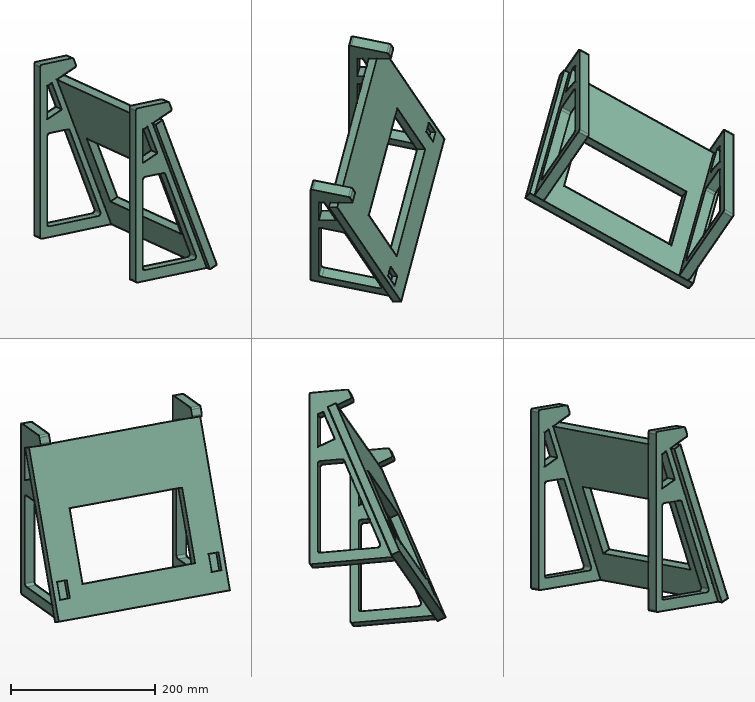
import cadquery as cq
import math

TOTAL_WIDTH = 266.62
TOTAL_DEPTH = 131.03
TOTAL_HEIGHT = 254.57

LEAN = math.radians(21.8)
PANEL_THICKNESS = 12.7
PANEL_LENGTH = 245.6
WINDOW_MARGIN = 45.72
WINDOW_TOP = 152.4
WINDOW_WIDTH = TOTAL_WIDTH - 2 * WINDOW_MARGIN

BRACKET_WIDTH = 15.24
BRACKET_INSET = 7.62
POST_THICKNESS = 12.0
BASE_THICKNESS = 16.0
STRUT_THICKNESS = 9.0
HOOK_LENGTH = 35.56
UPPER_OPENING_BOTTOM = 200.6
OPENING_TOP = 152.0
CORNER_RADIUS = 3.175
OPENING_RADIUS = 4.0

SLOT_BOTTOM = 29.6
SLOT_LENGTH = 25.4
TAB_LENGTH = 5.08

SIN = math.sin(LEAN)
COS = math.cos(LEAN)
TAN = math.tan(LEAN)
FOOT_DEPTH = TOTAL_DEPTH - PANEL_THICKNESS * COS
BRACKET_X = TOTAL_WIDTH / 2 - BRACKET_INSET - BRACKET_WIDTH / 2


def on_slope(up, out):
    """(Y, Z) of a point up the panel's back face and out along its normal."""
    return (FOOT_DEPTH - up * SIN + out * COS, up * COS + out * SIN)


def out_at_depth(up, depth):
    """Distance along the panel's normal at which the line through 'up' reaches a given Y."""
    return (depth - FOOT_DEPTH + up * SIN) / COS


def prism(points, width):
    """Extrude a (Y, Z) outline symmetrically along X about X = 0."""
    return cq.Workplane("YZ").polyline(points).close().extrude(width / 2, both=True)


def slope_block(bottom, top, inner, outer, width):
    """Block aligned with the panel, centred on X = 0."""
    corners = [(bottom, inner), (bottom, outer), (top, outer), (top, inner)]
    return prism([on_slope(up, out) for up, out in corners], width)


def make_tab():
    return slope_block(SLOT_BOTTOM, SLOT_BOTTOM + SLOT_LENGTH, 0, TAB_LENGTH, BRACKET_WIDTH)


def make_panel():
    panel = slope_block(0, PANEL_LENGTH, 0, PANEL_THICKNESS, TOTAL_WIDTH)
    window = slope_block(WINDOW_MARGIN, WINDOW_TOP, 0, PANEL_THICKNESS, WINDOW_WIDTH)
    panel = panel.cut(window)
    slot = slope_block(SLOT_BOTTOM, SLOT_BOTTOM + SLOT_LENGTH, 0, PANEL_THICKNESS, BRACKET_WIDTH)
    for side in (-1, 1):
        panel = panel.cut(slot.translate((side * BRACKET_X, 0, 0)))
    return panel


def make_lower_opening():
    """Opening between post, base and strut, with rounded corners."""
    strut_foot = FOOT_DEPTH - STRUT_THICKNESS / COS
    points = [
        (POST_THICKNESS, BASE_THICKNESS),
        (strut_foot - BASE_THICKNESS * TAN, BASE_THICKNESS),
        (strut_foot - OPENING_TOP * TAN, OPENING_TOP),
        (POST_THICKNESS, OPENING_TOP),
    ]
    return prism(points, BRACKET_WIDTH).edges("|X").fillet(OPENING_RADIUS)


def make_upper_opening():
    """Sharp-cornered opening under the hook, square to the panel."""
    points = [
        on_slope(UPPER_OPENING_BOTTOM, -STRUT_THICKNESS),
        on_slope(PANEL_LENGTH, -STRUT_THICKNESS),
        on_slope(PANEL_LENGTH, out_at_depth(PANEL_LENGTH, POST_THICKNESS)),
        on_slope(UPPER_OPENING_BOTTOM, out_at_depth(UPPER_OPENING_BOTTOM, POST_THICKNESS)),
    ]
    return prism(points, BRACKET_WIDTH)


def make_bracket():
    hook_tip = on_slope(PANEL_LENGTH, HOOK_LENGTH)
    hook_top = (hook_tip[0] - (TOTAL_HEIGHT - hook_tip[1]) * TAN, TOTAL_HEIGHT)
    back_bottom = (0, 0)
    back_top = (0, TOTAL_HEIGHT)
    outline = [
        back_bottom,
        (FOOT_DEPTH, 0),
        on_slope(PANEL_LENGTH, 0),
        hook_tip,
        hook_top,
        back_top,
    ]
    bracket = prism(outline, BRACKET_WIDTH)
    for y, z in (back_bottom, back_top, hook_tip, hook_top):
        corner = cq.selectors.NearestToPointSelector((0, y, z))
        bracket = bracket.edges("|X").edges(corner).fillet(CORNER_RADIUS)
    return bracket.cut(make_lower_opening()).cut(make_upper_opening()).union(make_tab())


panel = make_panel()
brackets = [make_bracket().translate((side * BRACKET_X, 0, 0)) for side in (-1, 1)]

result = cq.Compound.makeCompound([panel.val(), *[bracket.val() for bracket in brackets]])